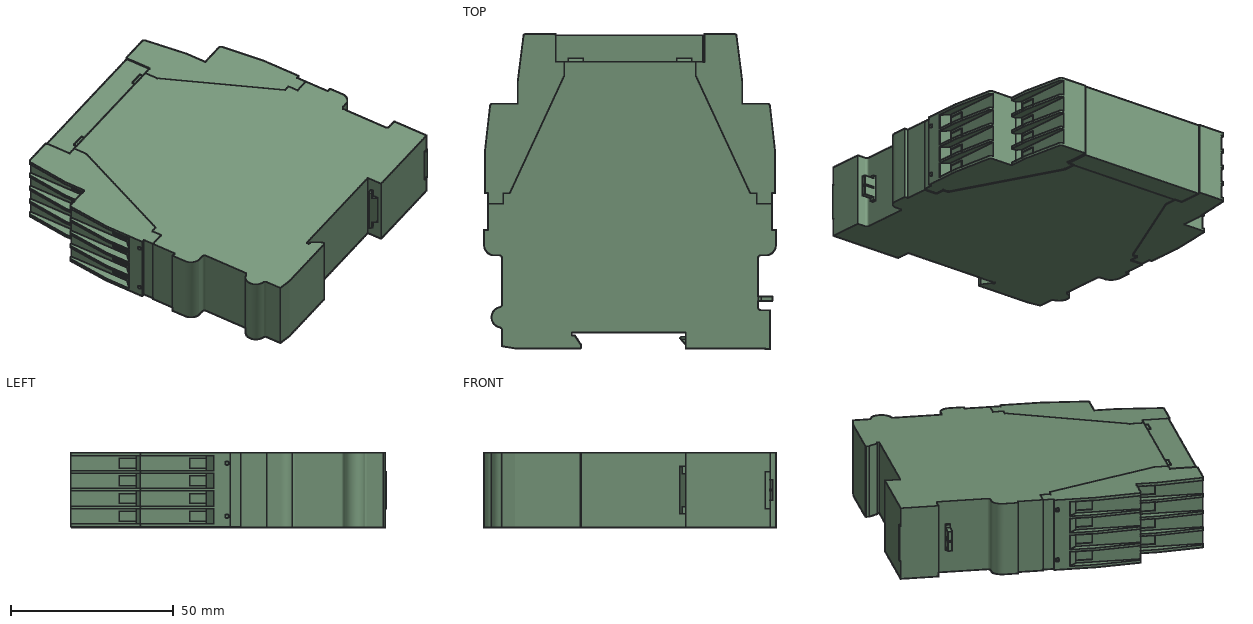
import cadquery as cq

TOTAL_WIDTH = 89.9
TOTAL_LENGTH = 97.05
THICKNESS = 23.1
FOOT_TAB_DROP = 0.3
TOP_Y = TOTAL_LENGTH - FOOT_TAB_DROP

SHOULDER_X = TOTAL_WIDTH / 2
SHOULDER_TOP_Y = 36.5
SHOULDER_ARC_Y = 32.0
SHOULDER_BOTTOM_Y = 28.6
SHOULDER_BOTTOM_X = 42.2
SHOULDER_ARC_MID = (44.2, 29.8)
BODY_X = 43.7
WALL_X = 39.4
FOOT_X = 43.1
FOOT_TOP_Y = 11.8
FOOT_BEVEL_X = 35.3
FOOT_BEVEL_Y = 0.7
CORNER_RADIUS = 0.8

TERMINAL_BASE_Y = 44.45
JOINT_STEP_Y = 47.75
JOINT_FOOT_X = 38.9
JOINT_LOW_X = 37.0
JOINT_HIGH_X = 20.3
JOINT_HIGH_Y = 83.8
COVER_BASE_Y = 88.1
COVER_X = 22.9

RAIL_TOP_Y = 4.9
RAIL_RIGHT_X = 17.1
RAIL_LIP_X = -15.0
RAIL_LIP_Y = 1.2
RAIL_LIP_BEVEL_X = 0.3
RAIL_LIP_BEVEL_Y = 0.2
RAIL_HOOK_X = -17.0
RAIL_HOOK_Y = 4.1
RAIL_BACK_X = -17.9

BEAD_Y = 9.6
BEAD_RADIUS = 3.2

LATCH_MID_Z = THICKNESS / 2
WEDGE_LENGTH = 14.6
WEDGE_TIP_X = 15.3
WEDGE_TIP_Y = 3.2
WEDGE_FLAT_X = 15.8
WEDGE_TOP_Y = 3.7
WEDGE_BOTTOM_Y = 1.2
WEDGE_NOTCH_X = 16.0
WEDGE_NOTCH_Y = 2.8
WEDGE_NOTCH_LENGTH = 2.2
TONGUE_TIP_X = 43.9
TONGUE_ROOT_X = 40.4
TONGUE_Y = 15.3
TONGUE_THICKNESS = 1.5
TONGUE_LENGTH = 6.3
TONGUE_ROOT_LENGTH = 8.25
TONGUE_SLIT = 0.5
TONGUE_CHAMFER = 0.2
FOOT_TAB_WIDTH = 1.5
FOOT_TAB_LENGTH = 11.5

TERMINAL_BOTTOM_Z = 0.3
TERMINAL_HEIGHT = THICKNESS - TERMINAL_BOTTOM_Z
TERMINAL_MID_Z = TERMINAL_BOTTOM_Z + TERMINAL_HEIGHT / 2
UPPER_TOP_X = 32.7
UPPER_SIDE_X = 34.55
UPPER_SIDE_Y = 82.2
LOWER_TOP_X = 43.0
LOWER_TOP_Y = 75.3
LOWER_SIDE_X = 44.6
LOWER_SIDE_Y = 60.7

CHANNEL_COUNT = 4
CHANNEL_PITCH = 5.4
CHANNEL_WIDTH = 4.7
UPPER_FLOOR_X = 31.6
UPPER_FLOOR_END_Y = 76.7
LOWER_FLOOR_X = 42.0
LOWER_FLOOR_END_Y = 55.0
CHANNEL_RUN_OUT = 2.3
CHANNEL_DEPTH = 3.4
WINDOW_LENGTH = 5.1
WINDOW_WIDTH = 3.0
WINDOW_DEPTH = 0.3
TEST_HOLE_Y = 48.7
TEST_HOLE_DIAMETER = 1.2
TEST_HOLE_DEPTH = 1.0

COVER_TOP_Y = TOP_Y - 0.4
COVER_CLEARANCE = 0.4
PRY_RAMP_X = 16.7
PRY_RAMP_LENGTH = 4.6
PRY_RAMP_TOP_Y = 89.2
PRY_RAMP_DEPTH = 0.2


def block(x_range, y_range, z_range):
    """Box given by its limits along each axis."""
    size = [high - low for low, high in (x_range, y_range, z_range)]
    corner = cq.Vector(x_range[0], y_range[0], z_range[0])
    return cq.Workplane(cq.Solid.makeBox(*size, corner))


def around(middle, length):
    """Limits of a length centred on a middle."""
    return (middle - length / 2, middle + length / 2)


def plate(points, z_range):
    """Straight-sided outline extruded between two Z levels."""
    outline = cq.Workplane("XY", origin=(0, 0, z_range[0])).polyline(points).close()
    return outline.extrude(z_range[1] - z_range[0])


def round_upright_edges(body, corners, radius):
    """Fillet the edges along Z that stand at the given XY corners."""
    for x, y in corners:
        corner = cq.selectors.NearestToPointSelector((x, y, THICKNESS / 2))
        body = body.edges("|Z").edges(corner).fillet(radius)
    return body


def housing_body():
    arc_x, arc_y = SHOULDER_ARC_MID
    outline = (
        cq.Workplane("XY")
        .moveTo(-JOINT_HIGH_X, COVER_BASE_Y)
        .lineTo(-JOINT_HIGH_X, JOINT_HIGH_Y)
        .lineTo(-JOINT_LOW_X, JOINT_STEP_Y)
        .lineTo(-JOINT_FOOT_X, JOINT_STEP_Y)
        .lineTo(-JOINT_FOOT_X, TERMINAL_BASE_Y)
        .lineTo(-BODY_X, TERMINAL_BASE_Y)
        .lineTo(-BODY_X, SHOULDER_TOP_Y)
        .lineTo(-SHOULDER_X, SHOULDER_TOP_Y)
        .lineTo(-SHOULDER_X, SHOULDER_ARC_Y)
        .threePointArc((-arc_x, arc_y), (-SHOULDER_BOTTOM_X, SHOULDER_BOTTOM_Y))
        .lineTo(-WALL_X, SHOULDER_BOTTOM_Y)
        .lineTo(-WALL_X, FOOT_BEVEL_Y)
        .lineTo(-FOOT_BEVEL_X, 0)
        .lineTo(RAIL_LIP_X - RAIL_LIP_BEVEL_X, 0)
        .lineTo(RAIL_LIP_X, RAIL_LIP_BEVEL_Y)
        .lineTo(RAIL_LIP_X, RAIL_LIP_Y)
        .lineTo(RAIL_HOOK_X, RAIL_HOOK_Y)
        .lineTo(RAIL_BACK_X, RAIL_HOOK_Y)
        .lineTo(RAIL_BACK_X, RAIL_TOP_Y)
        .lineTo(RAIL_RIGHT_X, RAIL_TOP_Y)
        .lineTo(RAIL_RIGHT_X, 0)
        .lineTo(FOOT_X, 0)
        .lineTo(FOOT_X, FOOT_TOP_Y)
        .lineTo(WALL_X, FOOT_TOP_Y)
        .lineTo(WALL_X, SHOULDER_BOTTOM_Y)
        .lineTo(SHOULDER_BOTTOM_X, SHOULDER_BOTTOM_Y)
        .threePointArc((arc_x, arc_y), (SHOULDER_X, SHOULDER_ARC_Y))
        .lineTo(SHOULDER_X, SHOULDER_TOP_Y)
        .lineTo(BODY_X, SHOULDER_TOP_Y)
        .lineTo(BODY_X, TERMINAL_BASE_Y)
        .lineTo(JOINT_FOOT_X, TERMINAL_BASE_Y)
        .lineTo(JOINT_FOOT_X, JOINT_STEP_Y)
        .lineTo(JOINT_LOW_X, JOINT_STEP_Y)
        .lineTo(JOINT_HIGH_X, JOINT_HIGH_Y)
        .lineTo(JOINT_HIGH_X, COVER_BASE_Y)
        .close()
    )
    bead = cq.Workplane("XY").center(-WALL_X, BEAD_Y).circle(BEAD_RADIUS).extrude(THICKNESS)
    inner_corners = [
        (-WALL_X, SHOULDER_BOTTOM_Y),
        (WALL_X, SHOULDER_BOTTOM_Y),
        (WALL_X, FOOT_TOP_Y),
        (-WALL_X, BEAD_Y + BEAD_RADIUS),
        (-WALL_X, BEAD_Y - BEAD_RADIUS),
    ]
    return round_upright_edges(outline.extrude(THICKNESS).union(bead), inner_corners, CORNER_RADIUS)


def latch_wedge():
    """Wedge that reaches into the rail recess, relieved under both ends."""
    z_low, z_high = around(LATCH_MID_Z, WEDGE_LENGTH)
    wedge = plate(
        [
            (RAIL_RIGHT_X, WEDGE_TOP_Y),
            (WEDGE_FLAT_X, WEDGE_TOP_Y),
            (WEDGE_TIP_X, WEDGE_TIP_Y),
            (RAIL_RIGHT_X, WEDGE_BOTTOM_Y),
        ],
        (z_low, z_high),
    )
    for end in ((z_low, z_low + WEDGE_NOTCH_LENGTH), (z_high - WEDGE_NOTCH_LENGTH, z_high)):
        wedge = wedge.cut(block((WEDGE_NOTCH_X, RAIL_RIGHT_X), (0, WEDGE_NOTCH_Y), end))
    return wedge


def latch_tongue():
    """Two-pronged tongue that stands out of the right wall on a wider root."""
    y_range = around(TONGUE_Y, TONGUE_THICKNESS)
    tongue = block((WALL_X, TONGUE_TIP_X), y_range, around(LATCH_MID_Z, TONGUE_LENGTH))
    tongue = tongue.faces(">X").edges("|Z").chamfer(TONGUE_CHAMFER)
    slit = block((TONGUE_ROOT_X, TONGUE_TIP_X), y_range, around(LATCH_MID_Z, TONGUE_SLIT))
    root = block((WALL_X, TONGUE_ROOT_X), y_range, around(LATCH_MID_Z, TONGUE_ROOT_LENGTH))
    return tongue.cut(slit).union(root)


def foot_tab():
    return block(
        (FOOT_X - FOOT_TAB_WIDTH, FOOT_X),
        (-FOOT_TAB_DROP, 0),
        around(LATCH_MID_Z, FOOT_TAB_LENGTH),
    )


def make_housing():
    return housing_body().union(latch_wedge()).union(latch_tongue()).union(foot_tab())


def terminal_body():
    """Stepped left-hand block that sits on the sloping joint."""
    outline = [
        (-COVER_X, TOP_Y),
        (-UPPER_TOP_X, TOP_Y),
        (-UPPER_SIDE_X, UPPER_SIDE_Y),
        (-UPPER_SIDE_X, LOWER_TOP_Y),
        (-LOWER_TOP_X, LOWER_TOP_Y),
        (-LOWER_SIDE_X, LOWER_SIDE_Y),
        (-LOWER_SIDE_X, JOINT_STEP_Y),
        (-BODY_X, JOINT_STEP_Y),
        (-BODY_X, TERMINAL_BASE_Y),
        (-JOINT_FOOT_X, TERMINAL_BASE_Y),
        (-JOINT_FOOT_X, JOINT_STEP_Y),
        (-JOINT_LOW_X, JOINT_STEP_Y),
        (-JOINT_HIGH_X, JOINT_HIGH_Y),
        (-JOINT_HIGH_X, COVER_BASE_Y),
        (-COVER_X, COVER_BASE_Y),
    ]
    body = plate(outline, (TERMINAL_BOTTOM_Z, THICKNESS))
    top_corners = [(-UPPER_TOP_X, TOP_Y), (-LOWER_TOP_X, LOWER_TOP_Y)]
    return round_upright_edges(body, top_corners, CORNER_RADIUS)


def wire_channel(floor_x, floor_end_y, tier_bottom_y, tier_top_y, middle_z):
    """Flat-floored channel that runs out at 45 degrees, with a sunken window at its low end."""
    run_out = min(CHANNEL_RUN_OUT, floor_end_y - tier_bottom_y)
    outer_x = floor_x + CHANNEL_DEPTH
    outline = [
        (-floor_x, tier_top_y),
        (-floor_x, floor_end_y),
        (-floor_x - run_out, floor_end_y - run_out),
        (-outer_x, floor_end_y - run_out),
        (-outer_x, tier_top_y),
    ]
    channel = plate(outline, around(middle_z, CHANNEL_WIDTH))
    window = block(
        (-floor_x, -floor_x + WINDOW_DEPTH),
        (floor_end_y, floor_end_y + WINDOW_LENGTH),
        around(middle_z, WINDOW_WIDTH),
    )
    return channel.union(window)


def test_hole(middle_z):
    hole = cq.Solid.makeCylinder(
        TEST_HOLE_DIAMETER / 2,
        TEST_HOLE_DEPTH,
        cq.Vector(-LOWER_SIDE_X, TEST_HOLE_Y, middle_z),
        cq.Vector(1, 0, 0),
    )
    return cq.Workplane(hole)


def make_left_terminal():
    terminal = terminal_body()
    half_span = CHANNEL_PITCH * (CHANNEL_COUNT - 1) / 2
    for index in range(CHANNEL_COUNT):
        middle_z = TERMINAL_MID_Z - half_span + index * CHANNEL_PITCH
        upper = wire_channel(UPPER_FLOOR_X, UPPER_FLOOR_END_Y, LOWER_TOP_Y, TOP_Y, middle_z)
        lower = wire_channel(LOWER_FLOOR_X, LOWER_FLOOR_END_Y, JOINT_STEP_Y, LOWER_TOP_Y, middle_z)
        terminal = terminal.cut(upper).cut(lower)
    for middle_z in (TERMINAL_MID_Z - half_span, TERMINAL_MID_Z + half_span):
        terminal = terminal.cut(test_hole(middle_z))
    return terminal


def pry_ramp(middle_x):
    """Shallow ramp that sinks from the lower edge of the cover into its top face."""
    section = [
        (COVER_BASE_Y, THICKNESS),
        (PRY_RAMP_TOP_Y, THICKNESS),
        (PRY_RAMP_TOP_Y, THICKNESS - PRY_RAMP_DEPTH),
    ]
    start_x = middle_x - PRY_RAMP_LENGTH / 2
    return cq.Workplane("YZ", origin=(start_x, 0, 0)).polyline(section).close().extrude(PRY_RAMP_LENGTH)


def make_cover():
    cover = block(
        (-COVER_X, COVER_X - COVER_CLEARANCE),
        (COVER_BASE_Y, COVER_TOP_Y),
        (0, THICKNESS),
    )
    for middle_x in (-PRY_RAMP_X, PRY_RAMP_X):
        cover = cover.cut(pry_ramp(middle_x))
    return cover


housing = make_housing()
cover = make_cover()
left_terminal = make_left_terminal()
right_terminal = left_terminal.mirror("YZ")

result = cq.Compound.makeCompound(
    [housing.val(), cover.val(), left_terminal.val(), right_terminal.val()]
)